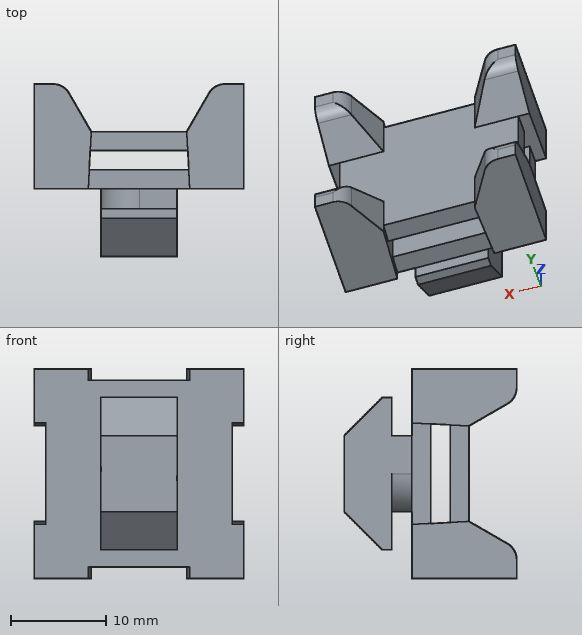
import cadquery as cq
import math

BODY_SIDE = 22.0
POST_DEPTH = 11.0
WEB_THICKNESS = 2.0
WEB_INSET = 1.2

WAIST_HALF = 5.0
WAIST_Y = 3 * WEB_THICKNESS
WALL_DRAFT = 3.0
FLARE_ANGLE = 60.0
POST_FILLET = 2.0

HEAD_WIDTH = 8.0
HEAD_LENGTH = 16.0
HEAD_THICKNESS = 5.0
HEAD_RIM = 1.0
HEAD_CREST_LENGTH = 8.0
NECK_LENGTH = 2.1


def make_wall_pair():
    """Two walls running the full height along Z, one on each side of the channel."""
    half_side = BODY_SIDE / 2
    front_half = WAIST_HALF + WAIST_Y * math.tan(math.radians(WALL_DRAFT))
    rear_half = WAIST_HALF + (POST_DEPTH - WAIST_Y) / math.tan(math.radians(FLARE_ANGLE))
    outline = [
        (half_side, 0),
        (half_side, POST_DEPTH),
        (rear_half, POST_DEPTH),
        (WAIST_HALF, WAIST_Y),
        (front_half, 0),
    ]
    wall = cq.Workplane("XY").polyline(outline).close().extrude(half_side, both=True)
    rear_lip = cq.selectors.NearestToPointSelector((rear_half, POST_DEPTH, 0))
    wall = wall.edges(rear_lip).fillet(POST_FILLET)
    return wall.union(wall.mirror("YZ"))


def make_posts():
    """Four corner posts where a pair of upright walls crosses a pair of level walls."""
    upright_walls = make_wall_pair()
    level_walls = upright_walls.rotate((0, 0, 0), (0, 1, 0), 90)
    return upright_walls.intersect(level_walls)


def make_plate(front_y):
    """Square plate tying the posts together."""
    side = BODY_SIDE - 2 * WEB_INSET
    return cq.Workplane("XZ", origin=(0, front_y, 0)).rect(side, side).extrude(-WEB_THICKNESS)


def make_neck():
    """Square neck with two opposite corners rounded so that it turns one way only."""
    half = HEAD_WIDTH / 2
    diagonal = half * math.sqrt(0.5)
    return (
        cq.Workplane("XZ")
        .moveTo(-half, -half)
        .lineTo(0, -half)
        .threePointArc((diagonal, -diagonal), (half, 0))
        .lineTo(half, half)
        .lineTo(0, half)
        .threePointArc((-diagonal, diagonal), (-half, 0))
        .close()
        .extrude(NECK_LENGTH)
    )


def make_head():
    """Head with bevelled ends, extruded across X."""
    base_y = -NECK_LENGTH
    rim_y = base_y - HEAD_RIM
    crest_y = base_y - HEAD_THICKNESS
    half_length = HEAD_LENGTH / 2
    half_crest = HEAD_CREST_LENGTH / 2
    outline = [
        (base_y, -half_length),
        (rim_y, -half_length),
        (crest_y, -half_crest),
        (crest_y, half_crest),
        (rim_y, half_length),
        (base_y, half_length),
    ]
    return cq.Workplane("YZ").polyline(outline).close().extrude(HEAD_WIDTH / 2, both=True)


front_plate = make_plate(0)
rear_plate = make_plate(WAIST_Y - WEB_THICKNESS)
result = make_posts().union(front_plate).union(rear_plate).union(make_neck()).union(make_head())